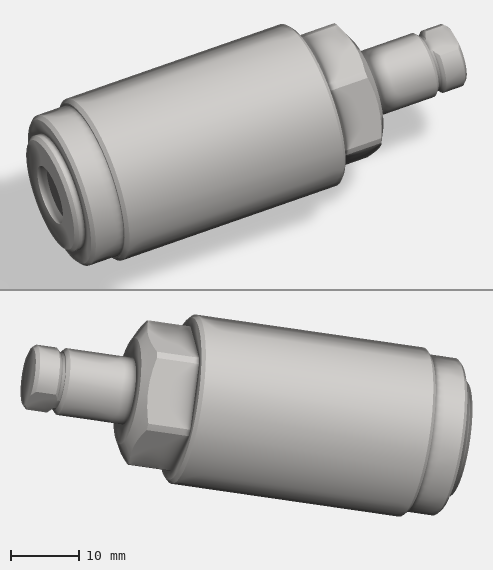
import cadquery as cq
import math

overall_length = 65.0
nose_length = 1.5
collar_length = 5.0
barrel_length = 35.5
hex_length = 8.0
stem_length = 10.45

nose_radius = 9.0
recess_radius = 4.5
collar_radius = 11.65
barrel_radius = 12.51
hex_corner_radius = 10.65
hex_across_flats = 19.0
hex_end_radius = 7.85
stem_radius = 4.95
cap_radius = 4.8
cap_across_flats = 8.2
neck_radius = 4.2

edge_chamfer = 0.5
hex_chamfer_angle = 30.0
neck_length = 0.45
hex_sides = 6

collar_start = nose_length
barrel_start = collar_start + collar_length
hex_start = barrel_start + barrel_length
stem_start = hex_start + hex_length
cap_start = stem_start + stem_length
cap_length = overall_length - cap_start


def cylinder(radius, start, length):
    """Solid cylinder on the Y axis, running toward +Y from start."""
    return cq.Workplane("XZ", origin=(0, start, 0)).circle(radius).extrude(-length)


def revolve_profile(points):
    """Revolve a closed (radius, y) outline about the Y axis."""
    return cq.Workplane("XY").polyline(points).close().revolve(360, (0, 0, 0), (0, 1, 0))


def make_hex():
    """Wrench hexagon with rounded corners and a conical chamfer at its +Y end."""
    hex_end = hex_start + hex_length
    chamfer_drop = (hex_corner_radius - hex_end_radius) * math.tan(math.radians(hex_chamfer_angle))
    blank = revolve_profile([
        (0, hex_start),
        (hex_corner_radius, hex_start),
        (hex_corner_radius, hex_end - chamfer_drop),
        (hex_end_radius, hex_end),
        (0, hex_end),
    ])
    across_corners = hex_across_flats / math.cos(math.pi / hex_sides)
    prism = (
        cq.Workplane("XZ", origin=(0, hex_start, 0))
        .polygon(hex_sides, across_corners)
        .extrude(-hex_length)
    )
    return blank.intersect(prism)


def make_housing():
    """Stepped barrel with a recessed nose, wrench hexagon and stem."""
    nose = cylinder(nose_radius, 0, nose_length).faces("<Y").chamfer(edge_chamfer)
    collar = cylinder(collar_radius, collar_start, collar_length).faces("<Y").chamfer(edge_chamfer)
    barrel = cylinder(barrel_radius, barrel_start, barrel_length).faces("<Y or >Y").chamfer(edge_chamfer)
    stem = cylinder(stem_radius, stem_start, stem_length).faces(">Y").chamfer(edge_chamfer)
    recess = cylinder(recess_radius, 0, nose_length)
    return nose.union(collar).union(barrel).union(make_hex()).union(stem).cut(recess)


def make_cap():
    """Round end cap with a narrow neck and two flats facing +Z and -Z."""
    neck_end = cap_start + neck_length
    blank = revolve_profile([
        (0, cap_start),
        (neck_radius, cap_start),
        (neck_radius, neck_end),
        (cap_radius, neck_end + cap_radius - neck_radius),
        (cap_radius, overall_length - edge_chamfer),
        (cap_radius - edge_chamfer, overall_length),
        (0, overall_length),
    ])
    flats = cq.Workplane("XY", origin=(0, cap_start + cap_length / 2, 0)).box(
        2 * cap_radius, cap_length, cap_across_flats
    )
    return blank.intersect(flats)


housing = make_housing()
cap = make_cap()

result = cq.Compound.makeCompound([housing.solids().val(), cap.solids().val()])